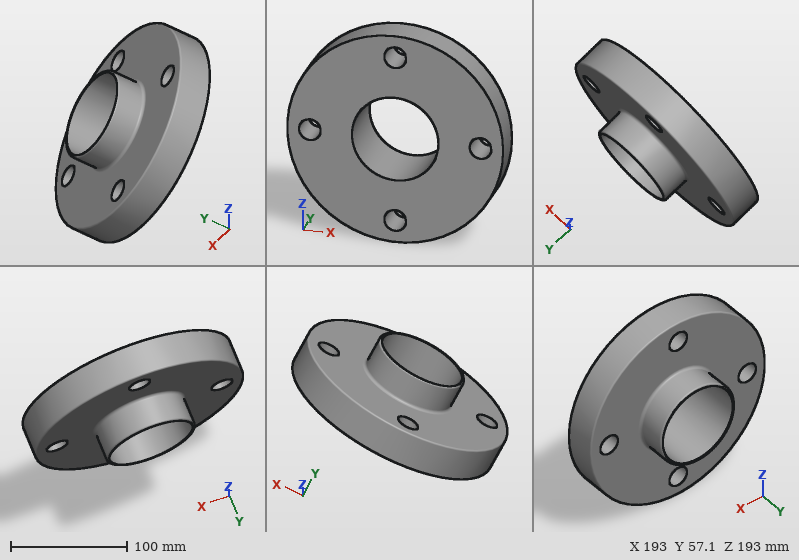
import cadquery as cq

flange_diameter = 193.0
flange_thickness = 30.3
flange_edge_fillet = 1.5

hub_diameter = 81.8
total_length = 57.1
hub_edge_fillet = 1.5
hub_root_fillet = 2.7

bore_diameter = 77.2
bolt_hole_diameter = 19.3
bolt_circle_diameter = 152.5
bolt_hole_count = 4


def revolved_body():
    """Flange and hub as one profile turned about the Y axis, flat face at Y = 0."""
    flange_radius = flange_diameter / 2
    hub_radius = hub_diameter / 2
    bore_radius = bore_diameter / 2
    profile = (
        cq.Workplane("XY")
        .moveTo(bore_radius, 0)
        .lineTo(flange_radius, 0)
        .lineTo(flange_radius, flange_thickness - flange_edge_fillet)
        .radiusArc((flange_radius - flange_edge_fillet, flange_thickness), -flange_edge_fillet)
        .lineTo(hub_radius + hub_root_fillet, flange_thickness)
        .radiusArc((hub_radius, flange_thickness + hub_root_fillet), hub_root_fillet)
        .lineTo(hub_radius, total_length - hub_edge_fillet)
        .radiusArc((hub_radius - hub_edge_fillet, total_length), -hub_edge_fillet)
        .lineTo(bore_radius, total_length)
        .close()
    )
    return profile.revolve(360, (0, 0, 0), (0, 1, 0))


def bolt_holes():
    """Cylinders on the bolt circle, through the flange along +Y."""
    return (
        cq.Workplane("XZ")
        .polarArray(bolt_circle_diameter / 2, 0, 360, bolt_hole_count)
        .circle(bolt_hole_diameter / 2)
        .extrude(-flange_thickness)
    )


result = revolved_body().cut(bolt_holes())